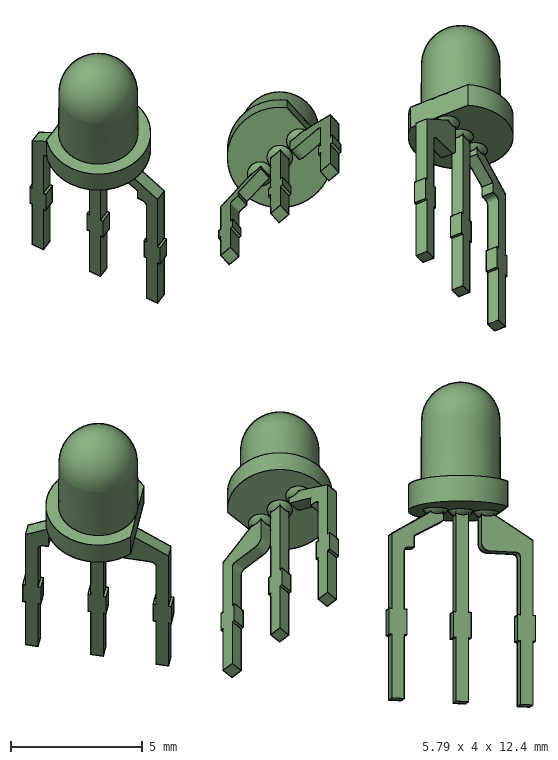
import cadquery as cq
import math

total_height = 12.43
flange_radius = 2.0
flange_bottom = 7.45
flange_height = 1.0
flange_top = flange_bottom + flange_height
lens_base_radius = 1.52
flat_x = -lens_base_radius
dome_radius = 1.5
dome_base = total_height - dome_radius

bead_pitch = 1.0
bead_radius = 0.48
bead_depth = 0.25
bead_sphere_radius = (bead_radius**2 + bead_depth**2) / (2 * bead_depth)

lead_size = 0.5
half_lead = lead_size / 2
lead_pitch = 2.54
stop_width = 0.71
stop_bottom = 2.49
stop_height = 1.0
shoulder_z = 6.4
shoulder_top_z = 7.33
elbow_z = 5.9
elbow_fillet = 0.19
wide_corner_radius = 0.35
narrow_slope_top_z = 7.0
narrow_step_x = 1.89
narrow_step_z = 6.36

entry_inner = bead_pitch - half_lead
entry_outer = bead_pitch + half_lead
leg_inner = lead_pitch - half_lead
leg_outer = lead_pitch + half_lead


def extrude_lead(outline):
    """Close an XZ outline and extrude it, centred on Y = 0."""
    return outline.close().extrude(half_lead, both=True)


def add_stop(lead, x):
    """Widen a lead with the stand-off stop at the given X."""
    stop = cq.Workplane("XY").box(stop_width, lead_size, stop_height, centered=(True, True, False))
    return lead.union(stop.translate((x, 0, stop_bottom)))


def bent_lead_start():
    """Outline shared by both bent leads, from the entry down to the inner elbow fillet."""
    return (
        cq.Workplane("XZ")
        .moveTo(entry_inner, flange_bottom)
        .lineTo(entry_outer, flange_bottom)
        .lineTo(entry_outer, shoulder_top_z)
        .lineTo(leg_outer, shoulder_z)
        .lineTo(leg_outer, 0)
        .lineTo(leg_inner, 0)
        .lineTo(leg_inner, elbow_z - elbow_fillet)
        .radiusArc((leg_inner - elbow_fillet, elbow_z), -elbow_fillet)
    )


def make_middle_lead():
    lead = cq.Workplane("XY").box(lead_size, lead_size, flange_bottom, centered=(True, True, False))
    return add_stop(lead, 0)


def make_wide_lead():
    """Bent lead on the -X side, with a solid rounded elbow."""
    outline = (
        bent_lead_start()
        .lineTo(entry_inner + wide_corner_radius, elbow_z)
        .radiusArc((entry_inner, elbow_z + wide_corner_radius), wide_corner_radius)
    )
    lead = extrude_lead(outline).mirror("YZ")
    return add_stop(lead, -lead_pitch)


def make_narrow_lead():
    """Bent lead on the +X side, with a sloping arm and a small step."""
    outline = (
        bent_lead_start()
        .lineTo(narrow_step_x, elbow_z)
        .lineTo(narrow_step_x, narrow_step_z)
        .lineTo(entry_inner, narrow_slope_top_z)
    )
    return add_stop(extrude_lead(outline), lead_pitch)


def make_bead(x):
    """Spherical cap hanging from the flange, its flat side on the flange underside."""
    bead = (
        cq.Workplane("XZ")
        .moveTo(0, 0)
        .lineTo(bead_radius, 0)
        .radiusArc((0, -bead_depth), bead_sphere_radius)
        .close()
        .revolve(360, (0, 0, 0), (0, 1, 0))
    )
    return bead.translate((x, 0, flange_bottom))


def make_housing(leads):
    """Lens, flange and beads, with the lead openings cut through the beads."""
    dome_rise = dome_radius * math.sin(math.pi / 4)
    lens = (
        cq.Workplane("XZ")
        .moveTo(0, flange_bottom)
        .lineTo(lens_base_radius, flange_bottom)
        .lineTo(lens_base_radius, flange_top)
        .lineTo(dome_radius, dome_base)
        .threePointArc((dome_rise, dome_base + dome_rise), (0, total_height))
        .close()
        .revolve(360, (0, 0, 0), (0, 1, 0))
    )
    flange = cq.Workplane("XY").circle(flange_radius).extrude(flange_height)
    flat_side = cq.Workplane("XY").box(
        2 * flange_radius, 2 * flange_radius, flange_height, centered=(True, True, False)
    ).translate((flat_x + flange_radius, 0, 0))
    flange = flange.intersect(flat_side).translate((0, 0, flange_bottom))
    housing = flange.union(lens)
    for x in (-bead_pitch, 0, bead_pitch):
        housing = housing.union(make_bead(x))
    for lead in leads:
        housing = housing.cut(lead)
    return housing


middle_lead = make_middle_lead()
wide_lead = make_wide_lead()
narrow_lead = make_narrow_lead()
housing = make_housing([middle_lead, wide_lead, narrow_lead])

result = cq.Compound.makeCompound(
    [housing.val(), middle_lead.val(), wide_lead.val(), narrow_lead.val()]
)